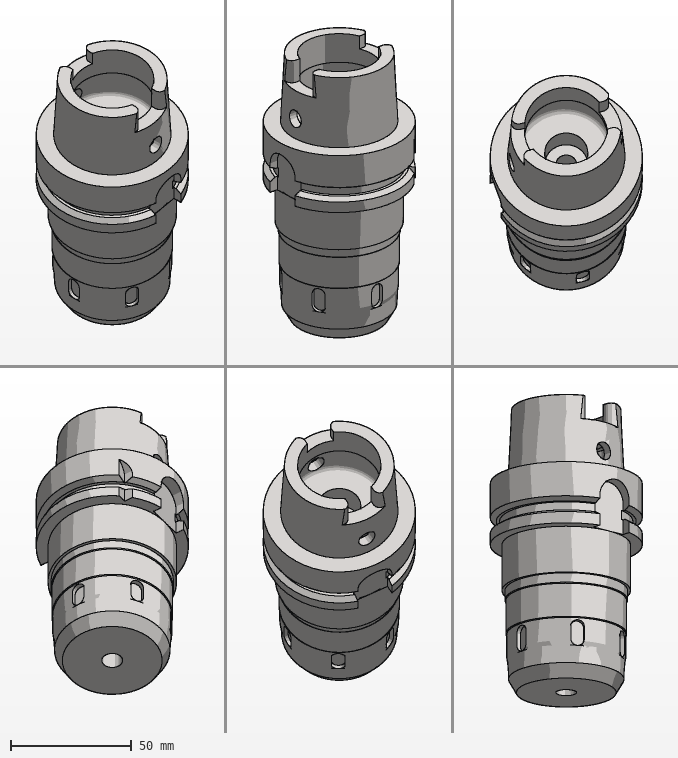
import cadquery as cq
import math

total_height = 122.0
cutter_reach = 36.6

nose_radius = 20.6
nut_low_radius = 23.9
nut_mid_radius = 24.3
nut_top_radius = 24.6
nose_chamfer_top = 5.7
nut_mid_height = 13.2
nut_band_height = 15.0
nut_top_height = 25.0
edge_break = 0.4

sleeve_radius = 25.0
collar_radius = 25.4
collar_bottom = 39.6
collar_top = 44.0
body_radius = 26.6

flange_radius = 31.5
flange_bottom = 63.8
flange_top = 90.3
groove_radius = 27.6
groove_bottom = 70.2
groove_top = 74.0
groove_bevel_height = 1.5
groove_bevel_radius = flange_radius - groove_bevel_height * math.tan(math.radians(60))

shank_base_radius = 24.3
shank_top_radius = 22.7

mouth_radius = 17.2
mouth_bottom = 108.7
cavity_radius = 20.0
cavity_floor = 93.7
cavity_fillet = 2.7
counterbore_radius = 8.9
counterbore_depth = 12.2
coolant_radius = 4.3

keyway_half_width = 6.2
keyway_corner_radius = 2.9
keyway_face = 20.9
left_keyway_bottom = 116.0
right_keyway_bottom = 111.8

cross_hole_height = 99.1
cross_hole_radius = 3.8

slot_center_height = 76.9
slot_radius = 8.0
slot_floor = 26.6
notch_radius = 9.0
notch_floor = 20.4
notch_near_edge = 20.0

wrench_slot_count = 6
wrench_slot_width = 5.7
wrench_slot_bottom = 13.2
wrench_slot_top = 24.2
wrench_slot_floor = 22.6


def outer_body():
    """Revolved outside shape, listed from the nose up to the shank rim."""
    profile = [
        (0, 0),
        (nose_radius, 0),
        (nut_low_radius, nose_chamfer_top),
        (nut_mid_radius, nut_mid_height),
        (nut_top_radius, nut_band_height),
        (nut_top_radius, nut_top_height),
        (sleeve_radius, nut_top_height + edge_break),
        (sleeve_radius, collar_bottom),
        (collar_radius, collar_bottom + edge_break),
        (collar_radius, collar_top),
        (body_radius, collar_top),
        (body_radius, flange_bottom),
        (flange_radius, flange_bottom),
        (flange_radius, groove_bottom - groove_bevel_height),
        (groove_bevel_radius, groove_bottom),
        (groove_radius, groove_bottom),
        (groove_radius, groove_top),
        (groove_bevel_radius, groove_top),
        (flange_radius, groove_top + groove_bevel_height),
        (flange_radius, flange_top),
        (shank_base_radius, flange_top),
        (shank_top_radius, total_height),
        (0, total_height),
    ]
    return cq.Workplane("XZ").polyline(profile).close().revolve(360, (0, 0), (0, 1))


def cavity():
    """Revolved hollow of the shank with its counterbore and the coolant hole."""
    counterbore_floor = cavity_floor - counterbore_depth
    fillet_mid_radius = cavity_radius - cavity_fillet * (1 - math.sin(math.pi / 4))
    fillet_mid_height = cavity_floor + cavity_fillet * (1 - math.cos(math.pi / 4))
    return (
        cq.Workplane("XZ")
        .lineTo(coolant_radius, 0)
        .lineTo(coolant_radius, counterbore_floor)
        .lineTo(counterbore_radius, counterbore_floor)
        .lineTo(counterbore_radius, cavity_floor)
        .lineTo(cavity_radius - cavity_fillet, cavity_floor)
        .threePointArc((fillet_mid_radius, fillet_mid_height), (cavity_radius, cavity_floor + cavity_fillet))
        .lineTo(cavity_radius, mouth_bottom)
        .lineTo(mouth_radius, mouth_bottom)
        .lineTo(mouth_radius, total_height)
        .lineTo(0, total_height)
        .close()
        .revolve(360, (0, 0), (0, 1))
    )


def keyway(side, bottom):
    """Drive keyway on the +X (side = 1) or -X (side = -1) side, flared by rounded prong corners."""
    corner_start = keyway_face - keyway_corner_radius
    corner_end = keyway_half_width + keyway_corner_radius
    corner_mid_x = corner_start + keyway_corner_radius * math.sin(math.pi / 4)
    corner_mid_y = corner_end - keyway_corner_radius * math.cos(math.pi / 4)
    flare = 2 * keyway_half_width
    return (
        cq.Workplane("XY")
        .workplane(offset=bottom)
        .moveTo(0, -keyway_half_width)
        .lineTo(side * corner_start, -keyway_half_width)
        .threePointArc((side * corner_mid_x, -corner_mid_y), (side * keyway_face, -corner_end))
        .lineTo(side * keyway_face, -flare)
        .lineTo(side * cutter_reach, -flare)
        .lineTo(side * cutter_reach, flare)
        .lineTo(side * keyway_face, flare)
        .lineTo(side * keyway_face, corner_end)
        .threePointArc((side * corner_mid_x, corner_mid_y), (side * corner_start, keyway_half_width))
        .lineTo(0, keyway_half_width)
        .close()
        .extrude(total_height - bottom)
    )


def flange_slot(center_y, radius, floor):
    """Round-topped cutter open at the flange bottom, reaching outward along +X from its floor."""
    return (
        cq.Workplane("YZ")
        .workplane(offset=floor)
        .moveTo(center_y - radius, flange_bottom)
        .lineTo(center_y - radius, slot_center_height)
        .threePointArc((center_y, slot_center_height + radius), (center_y + radius, slot_center_height))
        .lineTo(center_y + radius, flange_bottom)
        .close()
        .extrude(cutter_reach - floor)
    )


def wrench_slots():
    """Upright obround pockets spaced evenly around the nut, the first one facing -Y."""
    length = wrench_slot_top - wrench_slot_bottom
    pocket = (
        cq.Workplane("XZ")
        .workplane(offset=wrench_slot_floor)
        .center(0, (wrench_slot_top + wrench_slot_bottom) / 2)
        .slot2D(length, wrench_slot_width, 90)
        .extrude(cutter_reach - wrench_slot_floor)
    )
    pitch = 360 / wrench_slot_count
    return [pocket.rotate((0, 0, 0), (0, 0, 1), index * pitch) for index in range(wrench_slot_count)]


result = outer_body().cut(cavity())
result = result.cut(keyway(-1, left_keyway_bottom))
result = result.cut(keyway(1, right_keyway_bottom))

cross_hole = (
    cq.Workplane("YZ")
    .center(0, cross_hole_height)
    .circle(cross_hole_radius)
    .extrude(cutter_reach, both=True)
)
result = result.cut(cross_hole)

drive_slot = flange_slot(0, slot_radius, slot_floor)
result = result.cut(drive_slot)
result = result.cut(drive_slot.mirror("YZ"))

notch = flange_slot(notch_near_edge + notch_radius, notch_radius, notch_floor)
result = result.cut(notch.mirror("YZ"))

for wrench_slot in wrench_slots():
    result = result.cut(wrench_slot)